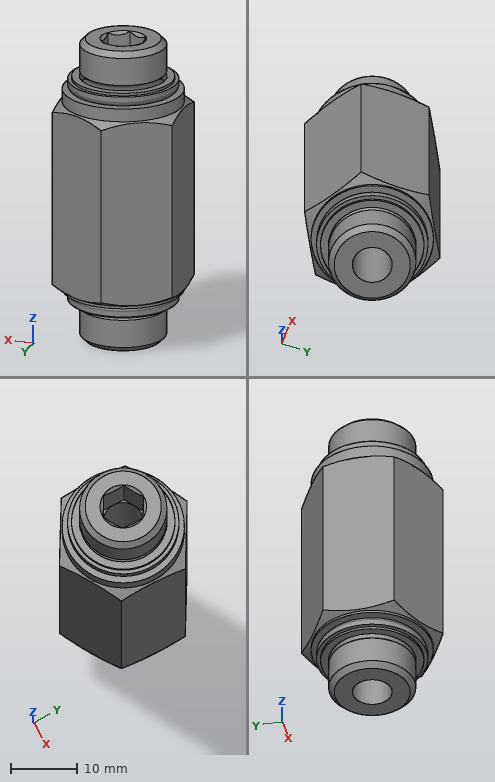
import cadquery as cq
import math

TOTAL_LENGTH = 48.0
HEX_ACROSS_FLATS = 19.0
HEX_CHAMFER_ANGLE = 30.0

SPIGOT_DIAMETER = 13.16
SPIGOT_CHAMFER = 0.85
SPIGOT_LENGTH = 5.2
NECK_CONE_HEIGHT = 0.22
NECK_CONE_ANGLE = 60.0
NECK_ROUND_RADIUS = 1.1

RING_START = 6.0
RING_BORE_DIAMETER = 13.2
RING_STEP_DIAMETER = 15.6
RING_STEP_HEIGHT = 0.4
RING_DIAMETER = 16.8
RING_STRAIGHT_HEIGHT = 0.9

COLLAR_START = 8.0
COLLAR_DIAMETER = 18.45
BOTTOM_COLLAR_HEIGHT = 0.4
TOP_COLLAR_HEIGHT = 2.05

BORE_DIAMETER = 6.0
SOCKET_ACROSS_FLATS = 6.0
SOCKET_DEPTH = 6.0
SOCKET_CHAMFER_DIAMETER = 7.0


def hexagon(across_flats, height):
    """Hexagonal prism standing on z = 0, with corners on the Y axis."""
    across_corners = across_flats / math.cos(math.radians(30))
    prism = cq.Workplane("XY").polygon(6, across_corners).extrude(height)
    return prism.rotate((0, 0, 0), (0, 0, 1), 90)


def make_end(collar_height):
    """Spigot, neck groove, sealing ring and collar, rising from z = 0 towards the hexagon."""
    spigot_radius = SPIGOT_DIAMETER / 2
    cone_angle = math.radians(NECK_CONE_ANGLE)
    cone_end_radius = spigot_radius - NECK_CONE_HEIGHT * math.tan(cone_angle)
    cone_end_z = SPIGOT_LENGTH + NECK_CONE_HEIGHT
    neck_radius = cone_end_radius - NECK_ROUND_RADIUS * (1 - math.cos(cone_angle))
    neck_middle_z = cone_end_z + NECK_ROUND_RADIUS * math.sin(cone_angle)
    round_end_z = 2 * neck_middle_z - cone_end_z
    ring_bore_radius = RING_BORE_DIAMETER / 2
    groove_end_z = round_end_z + (ring_bore_radius - cone_end_radius) / math.tan(cone_angle)

    ring_step_end = RING_START + RING_STEP_HEIGHT
    ring_round_start = ring_step_end + RING_STRAIGHT_HEIGHT
    ring_radius = RING_DIAMETER / 2
    ring_round_radius = COLLAR_START - ring_round_start

    profile = (
        cq.Workplane("XZ")
        .moveTo(0, 0)
        .lineTo(spigot_radius - SPIGOT_CHAMFER, 0)
        .lineTo(spigot_radius, SPIGOT_CHAMFER)
        .lineTo(spigot_radius, SPIGOT_LENGTH)
        .lineTo(cone_end_radius, cone_end_z)
        .threePointArc((neck_radius, neck_middle_z), (cone_end_radius, round_end_z))
        .lineTo(ring_bore_radius, groove_end_z)
        .lineTo(ring_bore_radius, RING_START)
        .lineTo(RING_STEP_DIAMETER / 2, RING_START)
        .lineTo(RING_STEP_DIAMETER / 2, ring_step_end)
        .lineTo(ring_radius, ring_step_end)
        .lineTo(ring_radius, ring_round_start)
        .radiusArc((ring_radius - ring_round_radius, COLLAR_START), -ring_round_radius)
        .lineTo(COLLAR_DIAMETER / 2, COLLAR_START)
        .lineTo(COLLAR_DIAMETER / 2, COLLAR_START + collar_height)
        .lineTo(0, COLLAR_START + collar_height)
        .close()
    )
    return profile.revolve(360, (0, 0, 0), (0, 1, 0))


def make_hex_body():
    """Hexagon between the collars, with both ends turned to a cone."""
    bottom_z = COLLAR_START + BOTTOM_COLLAR_HEIGHT
    top_z = TOTAL_LENGTH - COLLAR_START - TOP_COLLAR_HEIGHT
    outer_radius = HEX_ACROSS_FLATS
    slope = math.tan(math.radians(HEX_CHAMFER_ANGLE))
    end_radius = COLLAR_DIAMETER / 2
    cone_height = (outer_radius - end_radius) * slope
    envelope = (
        cq.Workplane("XZ")
        .moveTo(0, bottom_z)
        .lineTo(end_radius, bottom_z)
        .lineTo(outer_radius, bottom_z + cone_height)
        .lineTo(outer_radius, top_z - cone_height)
        .lineTo(end_radius, top_z)
        .lineTo(0, top_z)
        .close()
        .revolve(360, (0, 0, 0), (0, 1, 0))
    )
    return hexagon(HEX_ACROSS_FLATS, TOTAL_LENGTH).intersect(envelope)


def make_bore():
    return cq.Workplane("XY").circle(BORE_DIAMETER / 2).extrude(TOTAL_LENGTH)


def make_socket():
    """Hexagon socket sunk from the top, with a 45 degree conical lead-in."""
    recess = hexagon(SOCKET_ACROSS_FLATS, SOCKET_DEPTH).translate((0, 0, TOTAL_LENGTH - SOCKET_DEPTH))
    lead_in_radius = SOCKET_CHAMFER_DIAMETER / 2
    lead_in = (
        cq.Workplane("XZ")
        .moveTo(0, TOTAL_LENGTH)
        .lineTo(lead_in_radius, TOTAL_LENGTH)
        .lineTo(0, TOTAL_LENGTH - lead_in_radius)
        .close()
        .revolve(360, (0, 0, 0), (0, 1, 0))
    )
    return recess.union(lead_in)


bottom_end = make_end(BOTTOM_COLLAR_HEIGHT)
top_end = (
    make_end(TOP_COLLAR_HEIGHT)
    .rotate((0, 0, 0), (1, 0, 0), 180)
    .translate((0, 0, TOTAL_LENGTH))
)
solid_body = make_hex_body().union(bottom_end).union(top_end)
result = solid_body.cut(make_bore()).cut(make_socket())